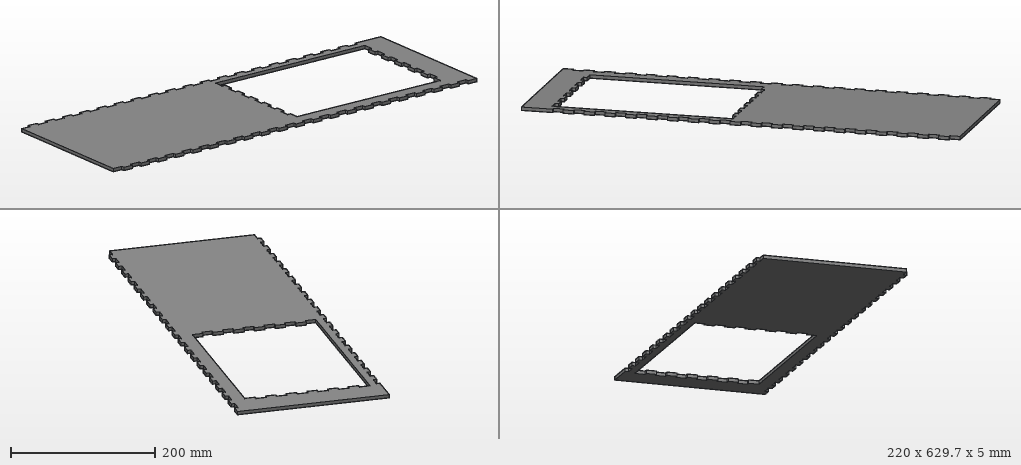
import cadquery as cq

thickness = 5.0
width = 220.0
length = 629.69
left = -width / 2
right = width / 2
top = length / 2
bottom = -length / 2

finger = 15.0
pitch = 2 * finger
finger_depth = thickness

left_first_notch = 3 * finger
right_first_notch = finger
last_notch = 41 * finger

window_left = 16.0
window_top = 40.0
window_width = 12 * finger
window_height = 260.0
window_recesses = round(window_width / pitch)


def block(x_min, x_max, y_min, y_max):
    """Full-thickness rectangular block between the given limits."""
    size = (x_max - x_min, y_max - y_min, thickness)
    return cq.Workplane("XY").box(*size, centered=False).translate((x_min, y_min, 0))


def edge_notches(x_min, first_notch):
    """Finger notches down one long edge; the last one runs out of the -Y end."""
    x_max = x_min + finger_depth
    notches = block(x_min, x_max, bottom, top - last_notch)
    notch_count = round((last_notch - first_notch) / pitch)
    for i in range(notch_count):
        y_max = top - first_notch - i * pitch
        notches = notches.union(block(x_min, x_max, y_max - finger, y_max))
    return notches


def window():
    """Window opening, with finger recesses along both of its short sides."""
    x_min = left + window_left
    y_max = top - window_top
    y_min = y_max - window_height
    opening = block(x_min, x_min + window_width, y_min + finger_depth, y_max - finger_depth)
    for i in range(window_recesses):
        x = x_min + i * pitch
        opening = opening.union(block(x, x + finger, y_min, y_max))
    return opening


panel = block(left, right, bottom, top)
panel = panel.cut(edge_notches(left, left_first_notch))
panel = panel.cut(edge_notches(right - finger_depth, right_first_notch))
result = panel.cut(window())